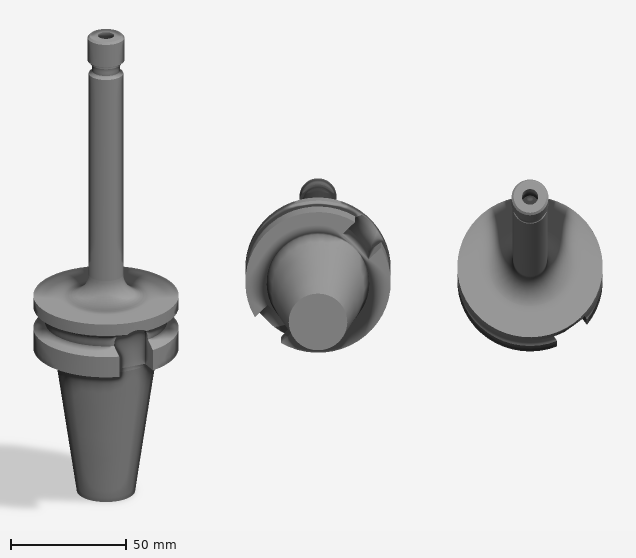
import cadquery as cq


gauge_diameter = 44.45
taper_ratio = 7 / 24
taper_length = 65.4
taper_end_diameter = gauge_diameter - taper_ratio * taper_length

flange_diameter = 63.0
flange_bottom_z = 2.0
flange_top_z = 27.0
groove_center_z = 16.6
groove_width = 10.0
groove_diameter = 53.0
groove_wall_height = 2.9
groove_bottom_z = groove_center_z - groove_width / 2
groove_top_z = groove_center_z + groove_width / 2

slot_width = 16.1
slot_floor_distance = 22.6
slot_top_z = 23.0

arbor_diameter = 15.0
arbor_fillet = 10.0
arbor_shoulder_height = 1.25
arbor_top_z = 133.5

total_top_z = 150.0
head_diameter = 16.0
head_height = 11.5
head_chamfer = 0.9
neck_diameter = 12.0
collar_diameter = 13.5
collar_height = 1.5
collar_cone_height = 0.3
head_bottom_z = total_top_z - head_height
collar_bottom_z = head_bottom_z - collar_height

hole_diameter = 7.0
hole_depth = head_height


def make_holder_base():
    """Taper and flange, revolved about Z."""
    gauge_radius = gauge_diameter / 2
    flange_radius = flange_diameter / 2
    groove_radius = groove_diameter / 2
    return (
        cq.Workplane("XZ")
        .moveTo(0, -taper_length)
        .lineTo(taper_end_diameter / 2, -taper_length)
        .lineTo(gauge_radius, 0)
        .lineTo(gauge_radius, flange_bottom_z)
        .lineTo(flange_radius, flange_bottom_z)
        .lineTo(flange_radius, groove_bottom_z)
        .lineTo(groove_radius, groove_bottom_z + groove_wall_height)
        .lineTo(groove_radius, groove_top_z - groove_wall_height)
        .lineTo(flange_radius, groove_top_z)
        .lineTo(flange_radius, flange_top_z)
        .lineTo(0, flange_top_z)
        .close()
        .revolve(360, (0, 0, 0), (0, 1, 0))
    )


def make_arbor():
    """Arbor with its root fillet, neck and chamfered head, revolved about Z."""
    arbor_radius = arbor_diameter / 2
    head_radius = head_diameter / 2
    neck_radius = neck_diameter / 2
    return (
        cq.Workplane("XZ")
        .moveTo(0, flange_top_z)
        .lineTo(arbor_radius + arbor_fillet, flange_top_z)
        .radiusArc((arbor_radius, flange_top_z + arbor_fillet), arbor_fillet)
        .lineTo(arbor_radius, arbor_top_z - arbor_shoulder_height)
        .lineTo(neck_radius, arbor_top_z)
        .lineTo(neck_radius, collar_bottom_z - collar_cone_height)
        .lineTo(collar_diameter / 2, collar_bottom_z)
        .lineTo(collar_diameter / 2, head_bottom_z)
        .lineTo(head_radius, head_bottom_z)
        .lineTo(head_radius, total_top_z - head_chamfer)
        .lineTo(head_radius - head_chamfer, total_top_z)
        .lineTo(0, total_top_z)
        .close()
        .revolve(360, (0, 0, 0), (0, 1, 0))
    )


def make_drive_slot(side):
    """Cutter for one round-topped slot, open below; side is -1 for -X or +1 for +X."""
    slot_radius = slot_width / 2
    arc_center_z = slot_top_z - slot_radius
    depth = flange_diameter / 2 - slot_floor_distance
    return (
        cq.Workplane("YZ", origin=(side * slot_floor_distance, 0, 0))
        .moveTo(-slot_radius, flange_bottom_z)
        .lineTo(slot_radius, flange_bottom_z)
        .lineTo(slot_radius, arc_center_z)
        .threePointArc((0, slot_top_z), (-slot_radius, arc_center_z))
        .close()
        .extrude(side * depth)
    )


def make_head_hole():
    """Cutter for the blind hole sunk from the top of the head."""
    return (
        cq.Workplane("XY", origin=(0, 0, total_top_z - hole_depth))
        .circle(hole_diameter / 2)
        .extrude(hole_depth)
    )


result = make_holder_base().union(make_arbor())
for slot_side in (-1, 1):
    result = result.cut(make_drive_slot(slot_side))
result = result.cut(make_head_hole())